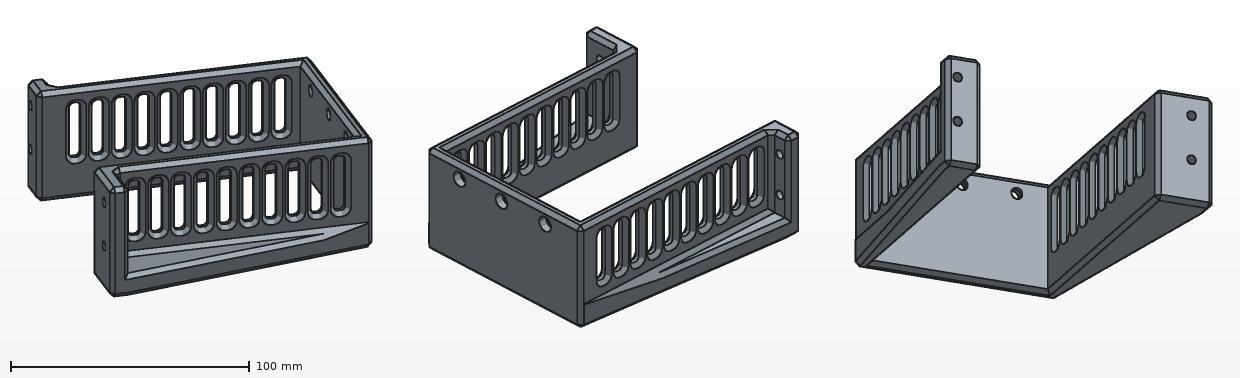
import cadquery as cq

TOTAL_WIDTH = 122.0
DEPTH = 121.0
HEIGHT = 50.0
WALL = 6.0
CHAMFER = WALL / 3

LEFT_REACH = 10.0
RIGHT_REACH = 20.0
EAR_THICKNESS = 8.0
LEDGE_HEIGHT = 10.0

SLOT_COUNT = 10
SLOT_PITCH = 10.0
SLOT_WIDTH = 5.0
SLOT_HEIGHT = 25.0
SLOT_CORNER_RADIUS = 2.0
FLARE_ANGLE = 45
SLOT_CENTER_Z = 30.5
FIRST_SLOT_Y = 16.8

EAR_HOLE_DIAMETER = 4.0
EAR_HOLE_INSET_LEFT = 5.0
EAR_HOLE_INSET_RIGHT = 10.0
EAR_HOLE_HEIGHTS = (20.0, 40.0)
BACK_HOLE_DIAMETER = 5.0
BACK_COUNTERBORE_DIAMETER = 7.0
BACK_COUNTERBORE_DEPTH = 2 * WALL / 3
BACK_HOLE_HEIGHT = 43.1
BACK_HOLE_POSITIONS = (31.0, 57.0, 82.0)

FRAME_LEFT = LEFT_REACH
FRAME_RIGHT = TOTAL_WIDTH - RIGHT_REACH
FRAME_WIDTH = FRAME_RIGHT - FRAME_LEFT
TAPER_END_Y = DEPTH - CHAMFER


def make_frame():
    """U-shaped frame with every edge chamfered except the two inner back corners."""
    outer = cq.Workplane("XY").box(FRAME_WIDTH, DEPTH, HEIGHT, centered=False)
    opening = (
        cq.Workplane("XY")
        .box(FRAME_WIDTH - 2 * WALL, DEPTH - WALL, HEIGHT, centered=False)
        .translate((WALL, 0, 0))
    )
    frame = outer.cut(opening)
    frame = frame.edges("#Z or (|Z and (<Y or >Y))").chamfer(CHAMFER)
    return frame.translate((FRAME_LEFT, 0, 0))


def section_wire(profile, y):
    """Closed wire through (x, z) points in the plane at the given y."""
    return cq.Wire.makePolygon([cq.Vector(x, y, z) for x, z in profile], close=True)


def ledge_section(reach):
    """Ledge cross-section with chamfered outer edges; its inner side lies inside the wall."""
    root = CHAMFER - WALL
    return [
        (root, 0),
        (reach - CHAMFER, 0),
        (reach, CHAMFER),
        (reach, LEDGE_HEIGHT - CHAMFER),
        (reach - CHAMFER, LEDGE_HEIGHT),
        (root, LEDGE_HEIGHT),
    ]


def make_ledge(reach):
    """Ledge running straight under the ear, then tapering toward the back corner."""
    end_width = reach * (DEPTH - TAPER_END_Y) / (DEPTH - EAR_THICKNESS)
    stations = ((EAR_THICKNESS / 2, reach), (EAR_THICKNESS, reach), (TAPER_END_Y, end_width))
    wires = [section_wire(ledge_section(width), y) for y, width in stations]
    straight = cq.Solid.makeLoft(wires[:2], True)
    taper = cq.Solid.makeLoft(wires[1:], True)
    return cq.Workplane(straight).union(cq.Workplane(taper))


def make_ledge_gusset(reach):
    """45-degree strip filling the corner between ledge and wall, trimmed by the taper."""
    leg = 2 * CHAMFER
    low = LEDGE_HEIGHT - CHAMFER
    length = TAPER_END_Y - EAR_THICKNESS
    strip = (
        cq.Workplane("XZ", origin=(0, TAPER_END_Y, 0))
        .polyline([(0, low), (leg, low), (0, low + leg)])
        .close()
        .extrude(length)
    )
    taper_limit = (
        cq.Workplane("XY")
        .polyline([(0, EAR_THICKNESS), (reach, EAR_THICKNESS), (0, DEPTH)])
        .close()
        .extrude(HEIGHT)
    )
    return strip.intersect(taper_limit)


def corner_triangle(leg, z):
    """Right triangle at height z whose square corner is buried where ear meets wall."""
    x = -CHAMFER
    y = EAR_THICKNESS - CHAMFER
    points = [cq.Vector(x, y, z), cq.Vector(x + leg, y, z), cq.Vector(x, y + leg, z)]
    return cq.Wire.makePolygon(points, close=True)


def make_ear_gusset():
    """Vertical 45-degree strip between ear and wall, beveled on top to meet both top chamfers."""
    full_leg = 3 * CHAMFER
    top_leg = 2 * CHAMFER
    foot = corner_triangle(full_leg, LEDGE_HEIGHT / 2)
    shoulder = corner_triangle(full_leg, HEIGHT - CHAMFER)
    top = corner_triangle(top_leg, HEIGHT)
    strip = cq.Solid.makeLoft([foot, shoulder], True)
    bevel = cq.Solid.makeLoft([shoulder, top], True)
    return cq.Workplane(strip).union(cq.Workplane(bevel))


def make_ear(reach):
    """Ear, ledge and gussets of one arm, pointing +X from a wall face at x = 0."""
    plate = (
        cq.Workplane("XY", origin=(-WALL, 0, 0))
        .box(reach + WALL, EAR_THICKNESS, HEIGHT, centered=False)
        .edges()
        .chamfer(CHAMFER)
    )
    ear = plate.union(make_ledge(reach)).union(make_ledge_gusset(reach))
    return ear.union(make_ear_gusset())


def slot_profile(margin):
    """Rounded slot outline, grown by a margin, in the plane x = 0."""
    sketch = (
        cq.Sketch()
        .rect(SLOT_WIDTH + 2 * margin, SLOT_HEIGHT + 2 * margin)
        .vertices()
        .fillet(SLOT_CORNER_RADIUS + margin)
    )
    return cq.Workplane("YZ", origin=(0, 0, SLOT_CENTER_Z)).placeSketch(sketch)


def make_slot_cutter():
    """Slot through one wall (x = 0 to WALL) with its rim flared on both faces."""
    through = slot_profile(0).extrude(WALL)
    flare = slot_profile(CHAMFER).extrude(CHAMFER, taper=FLARE_ANGLE)
    opposite_flare = flare.mirror("YZ").translate((WALL, 0, 0))
    return through.union(flare).union(opposite_flare)


def cut_slots(body):
    """Cut the same row of flared slots through both arms."""
    cutter = make_slot_cutter()
    for wall_x in (FRAME_LEFT, FRAME_RIGHT - WALL):
        for index in range(SLOT_COUNT):
            body = body.cut(cutter.translate((wall_x, FIRST_SLOT_Y + index * SLOT_PITCH, 0)))
    return body


def cut_hole(body, x, y, z, diameter, depth):
    """Cut a round hole along +Y, starting at the given point."""
    drill = cq.Workplane("XZ", origin=(x, y, z)).circle(diameter / 2).extrude(-depth)
    return body.cut(drill)


def cut_holes(body):
    """Cut two holes through each ear and three through the back wall, counterbored from behind."""
    for x in (EAR_HOLE_INSET_LEFT, TOTAL_WIDTH - EAR_HOLE_INSET_RIGHT):
        for z in EAR_HOLE_HEIGHTS:
            body = cut_hole(body, x, 0, z, EAR_HOLE_DIAMETER, EAR_THICKNESS)
    counterbore_y = DEPTH - BACK_COUNTERBORE_DEPTH
    for x in BACK_HOLE_POSITIONS:
        body = cut_hole(body, x, DEPTH - WALL, BACK_HOLE_HEIGHT, BACK_HOLE_DIAMETER, WALL)
        body = cut_hole(
            body, x, counterbore_y, BACK_HOLE_HEIGHT, BACK_COUNTERBORE_DIAMETER, BACK_COUNTERBORE_DEPTH
        )
    return body


left_ear = make_ear(LEFT_REACH).mirror("YZ").translate((FRAME_LEFT, 0, 0))
right_ear = make_ear(RIGHT_REACH).translate((FRAME_RIGHT, 0, 0))
body = make_frame().union(left_ear).union(right_ear)
result = cut_holes(cut_slots(body))